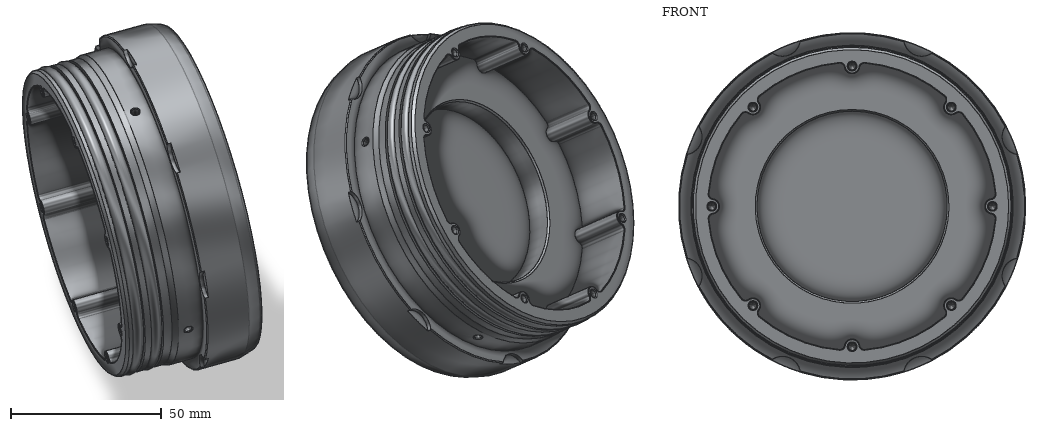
import cadquery as cq
import math

total_depth = 46.5
front_y = -total_depth / 2

flange_radius = 57.5
flange_start = 26.6
rim_bevel = 0.3
taper_start = 41.4
taper_end = 45.7
taper_end_radius = 56.2
back_radius = 55.8

shoulder_radius = 53.4
shoulder_end = 18.0
spigot_radius = 52.7
shoulder_bevel_end = 16.0
nose_radius = 51.9
nose_bevel_length = 1.0

ring_depths = (4.5, 10.9)
groove_width = 4.3
groove_floor_radius = 51.3
ring_section_radius = 2.01
ring_outer_radius = 53.0
ring_centre_radius = ring_outer_radius - ring_section_radius

cavity_radius = 47.6
cavity_depth = 19.5
cavity_bevel = 0.2
boss_count = 8
boss_circle_radius = 46.5
boss_radius = 2.5
boss_fillet = 1.6

recess_radius = 31.5
recess_depth = 8.7
recess_bevel = 0.6

hole_radius = 1.3
countersink_radius = 1.6
countersink_depth = countersink_radius - hole_radius
hole_depth = 5.8
drill_point_angle = 118.0
drill_point_length = hole_radius / math.tan(math.radians(drill_point_angle / 2))

radial_hole_count = 4
radial_hole_depth_from_front = 21.5

scallop_count = 8
scallop_radius = 6.0
scallop_circle_radius = 60.3
scallop_depth = 1.4


def cylinder(radius, start, length, x=0.0, z=0.0):
    """Cylinder along +Y that begins at depth start."""
    return cq.Workplane(cq.Solid.makeCylinder(
        radius, length, cq.Vector(x, front_y + start, z), cq.Vector(0, 1, 0)))


def revolve_about_y(points):
    """Revolve an outline of (radius, y) points about the Y axis."""
    return cq.Workplane("XY").polyline(points).close().revolve(360, (0, 0, 0), (0, 1, 0))


def polar_points(count, radius, first_angle=0.0):
    """(x, z) points evenly spaced on a circle about the Y axis."""
    angles = [math.radians(first_angle + i * 360 / count) for i in range(count)]
    return [(radius * math.cos(a), radius * math.sin(a)) for a in angles]


def make_body():
    outline = [
        (0, 0),
        (nose_radius, 0),
        (spigot_radius, nose_bevel_length),
        (spigot_radius, shoulder_bevel_end),
        (shoulder_radius, shoulder_end),
        (shoulder_radius, flange_start),
        (flange_radius - rim_bevel, flange_start),
        (flange_radius, flange_start + rim_bevel),
        (flange_radius, taper_start),
        (taper_end_radius, taper_end),
        (back_radius, total_depth),
        (0, total_depth),
    ]
    return revolve_about_y(outline).translate((0, front_y, 0))


def add_sealing_ring(body, depth):
    groove = cylinder(shoulder_radius, depth - groove_width / 2, groove_width).cut(
        cylinder(groove_floor_radius, depth - groove_width / 2, groove_width))
    ring = (
        cq.Workplane("XY")
        .moveTo(ring_centre_radius, -ring_section_radius)
        .threePointArc((ring_outer_radius, 0), (ring_centre_radius, ring_section_radius))
        .close()
        .revolve(360, (0, 0, 0), (0, 1, 0))
        .translate((0, front_y + depth, 0))
    )
    return body.cut(groove).union(ring)


def cut_cavity(body):
    cavity = cylinder(cavity_radius, 0, cavity_depth)
    for x, z in polar_points(boss_count, boss_circle_radius):
        cavity = cavity.cut(cylinder(boss_radius, 0, cavity_depth, x, z))
    cavity = cavity.edges("|Y").fillet(boss_fillet)
    body = body.cut(cavity)
    mouth = body.faces("<Y").val().innerWires()[0]
    return body.newObject(mouth.Edges()).chamfer(cavity_bevel)


def cut_recess(body):
    recess = cylinder(recess_radius, cavity_depth, recess_depth)
    bevel = cq.Workplane(cq.Solid.makeCone(
        recess_radius + recess_bevel, recess_radius, recess_bevel,
        cq.Vector(0, front_y + cavity_depth, 0), cq.Vector(0, 1, 0)))
    return body.cut(recess).cut(bevel)


def make_hole():
    """Countersunk drilled hole that enters at the origin and runs along +Y."""
    return revolve_about_y([
        (0, 0),
        (countersink_radius, 0),
        (hole_radius, countersink_depth),
        (hole_radius, hole_depth),
        (0, hole_depth + drill_point_length),
    ])


def cut_screw_holes(body):
    for x, z in polar_points(boss_count, boss_circle_radius):
        body = body.cut(make_hole().translate((x, front_y, z)))
    return body


def cut_radial_holes(body):
    hole = make_hole().rotate((0, 0, 0), (1, 0, 0), -90)
    hole = hole.translate((0, front_y + radial_hole_depth_from_front, shoulder_radius))
    for i in range(radial_hole_count):
        body = body.cut(hole.rotate((0, 0, 0), (0, 1, 0), i * 360 / radial_hole_count))
    return body


def cut_scallops(body):
    half_pitch = 180 / scallop_count
    for x, z in polar_points(scallop_count, scallop_circle_radius, half_pitch):
        scallop = cylinder(scallop_radius, flange_start, scallop_depth, x, z)
        body = body.cut(scallop)
    return body


result = make_body()
result = cut_cavity(result)
result = cut_recess(result)
for ring_depth in ring_depths:
    result = add_sealing_ring(result, ring_depth)
result = cut_screw_holes(result)
result = cut_radial_holes(result)
result = cut_scallops(result)